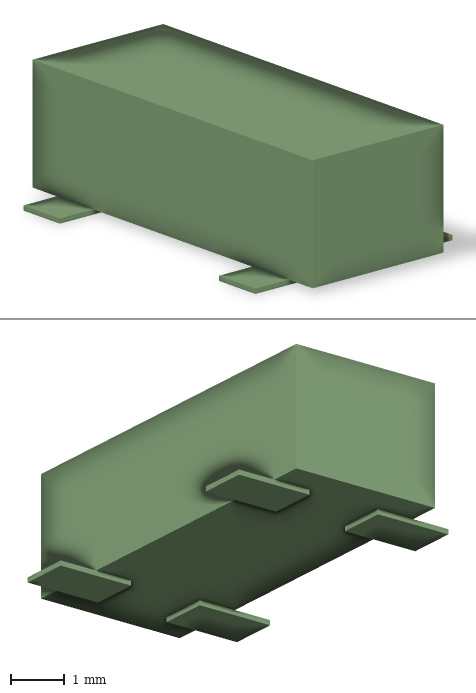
import cadquery as cq

housing_length = 7.9
housing_width = 3.21
housing_height = 2.5

lead_span = 4.84
lead_length = 1.63
lead_width = 1.03
lead_thickness = 0.1
lead_pitch = 5.515


def make_housing():
    """Block centred in X and Y, with its underside at Z = 0."""
    return cq.Workplane("XY").box(
        housing_length, housing_width, housing_height, centered=(True, True, False)
    )


def make_lead(x_side, y_side):
    """Flat lead touching the underside of the housing; each side is -1 or 1."""
    x_center = x_side * lead_pitch / 2
    y_center = y_side * (lead_span - lead_length) / 2
    return (
        cq.Workplane("XY")
        .box(lead_width, lead_length, lead_thickness)
        .translate((x_center, y_center, -lead_thickness / 2))
    )


housing = make_housing()

leads = []
for x_side in (-1, 1):
    for y_side in (-1, 1):
        leads.append(make_lead(x_side, y_side))

result = cq.Compound.makeCompound([housing.val(), *[lead.val() for lead in leads]])